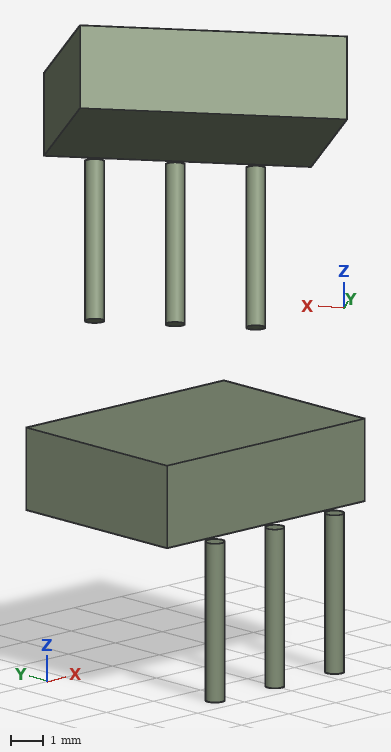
import cadquery as cq

body_width = 8.42
body_depth = 6.4
body_height = 2.65

pin_diameter = 0.6
pin_length = 5.1
pin_pitch = 2.54
pin_count = 3
pin_gap = 0.1


def make_body():
    return cq.Workplane("XY").box(
        body_width, body_depth, body_height, centered=(True, False, False)
    )


def make_pin(x):
    y = -(pin_gap + pin_diameter / 2)
    return (
        cq.Workplane("XY")
        .center(x, y)
        .circle(pin_diameter / 2)
        .extrude(-pin_length)
    )


body = make_body()

pins = []
for index in range(pin_count):
    pin_x = (index - (pin_count - 1) / 2) * pin_pitch
    pins.append(make_pin(pin_x))

result = cq.Compound.makeCompound([body.val(), *[pin.val() for pin in pins]])